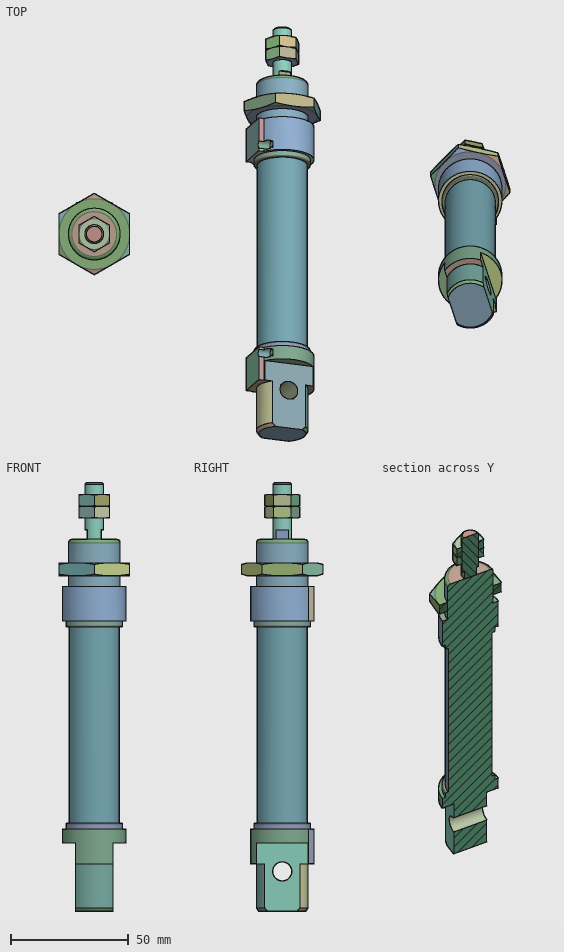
import cadquery as cq
import math

TOTAL_LENGTH = 182.0
ROD_LENGTH = 24.0
HOUSING_TOP = TOTAL_LENGTH - ROD_LENGTH
NECK_LENGTH = 20.0
BOSS_LENGTH = 14.75
COLLAR_LENGTH = 2.5
FRONT_BOSS_TOP = HOUSING_TOP - NECK_LENGTH
FRONT_BOSS_BOTTOM = FRONT_BOSS_TOP - BOSS_LENGTH
REAR_BOSS_BOTTOM = 20.25
REAR_BOSS_TOP = REAR_BOSS_BOTTOM + BOSS_LENGTH

TUBE_DIAMETER = 21.4
COLLAR_DIAMETER = 24.0
COLLAR_ROUNDING = 0.4
BOSS_DIAMETER = 27.0
NECK_DIAMETER = 22.0
NECK_ROUNDING = 1.5
CLEVIS_CHAMFER_HEIGHT = 1.5
CLEVIS_CHAMFER_WIDTH = 1.0
CLEVIS_THICKNESS = 16.0
CLEVIS_FLAT_TOP = 29.0
PIN_HOLE_DIAMETER = 8.0
PIN_HOLE_HEIGHT = 17.0

PAD_WIDTH = 15.2
SCREW_HOLE_DIAMETER = 4.0
SCREW_HOLE_X = -8.8
SCREW_HOLE_FLOOR = 8.2
SCREW_HOLE_INSET = 2.75

ROD_DIAMETER = 8.0
ROD_TIP_DIAMETER = 6.65
ROD_CHAMFER = (ROD_DIAMETER - ROD_TIP_DIAMETER) / 2
ROD_FLAT_WIDTH = 6.0
ROD_FLAT_HEIGHT = 4.0

ROD_NUT_WIDTH = 13.0
ROD_NUT_HEIGHT = 5.0
ROD_NUT_COUNT = 2
ROD_NUTS_BOTTOM = 167.0
NECK_NUT_WIDTH = 30.0
NECK_NUT_HEIGHT = 5.5
NECK_NUT_BOTTOM = 142.5
NUT_CHAMFER_ANGLE = 17.0


def cylinder(diameter, bottom, top):
    return cq.Workplane("XY").workplane(offset=bottom).circle(diameter / 2).extrude(top - bottom)


def cap_boss(bottom):
    """Round boss with a square-edged pad on its +Y side."""
    boss = cylinder(BOSS_DIAMETER, bottom, bottom + BOSS_LENGTH)
    pad = (
        cq.Workplane("XY")
        .workplane(offset=bottom)
        .rect(PAD_WIDTH, BOSS_DIAMETER / 2, centered=(True, False))
        .extrude(BOSS_LENGTH)
    )
    return boss.union(pad)


def screw_hole(height):
    """Blind hole running along Y from the pad face."""
    depth = BOSS_DIAMETER / 2 - SCREW_HOLE_FLOOR
    return (
        cq.Workplane("XZ", origin=(SCREW_HOLE_X, BOSS_DIAMETER / 2, height))
        .circle(SCREW_HOLE_DIAMETER / 2)
        .extrude(depth)
    )


def build_housing():
    tube = cylinder(TUBE_DIAMETER, REAR_BOSS_TOP, FRONT_BOSS_BOTTOM)
    front_collar = (
        cylinder(COLLAR_DIAMETER, FRONT_BOSS_BOTTOM - COLLAR_LENGTH, FRONT_BOSS_BOTTOM)
        .faces("<Z").edges().fillet(COLLAR_ROUNDING)
    )
    rear_collar = (
        cylinder(COLLAR_DIAMETER, REAR_BOSS_TOP, REAR_BOSS_TOP + COLLAR_LENGTH)
        .faces(">Z").edges().fillet(COLLAR_ROUNDING)
    )
    neck = (
        cylinder(NECK_DIAMETER, FRONT_BOSS_TOP, HOUSING_TOP)
        .faces(">Z").edges().fillet(NECK_ROUNDING)
    )
    clevis = (
        cylinder(NECK_DIAMETER, 0, REAR_BOSS_BOTTOM)
        .faces("<Z").edges().chamfer(CLEVIS_CHAMFER_HEIGHT, CLEVIS_CHAMFER_WIDTH)
    )
    housing = tube.union(front_collar).union(rear_collar).union(neck).union(clevis)
    housing = housing.union(cap_boss(FRONT_BOSS_BOTTOM)).union(cap_boss(REAR_BOSS_BOTTOM))
    housing = housing.cut(screw_hole(FRONT_BOSS_BOTTOM + SCREW_HOLE_INSET))
    housing = housing.cut(screw_hole(REAR_BOSS_TOP - SCREW_HOLE_INSET))

    for side in (-1, 1):
        flat_cut = (
            cq.Workplane("XY")
            .center(side * (CLEVIS_THICKNESS + BOSS_DIAMETER) / 2, 0)
            .rect(BOSS_DIAMETER, 2 * BOSS_DIAMETER)
            .extrude(CLEVIS_FLAT_TOP)
        )
        housing = housing.cut(flat_cut)
    pin_hole = (
        cq.Workplane("YZ")
        .center(0, PIN_HOLE_HEIGHT)
        .circle(PIN_HOLE_DIAMETER / 2)
        .extrude(CLEVIS_THICKNESS, both=True)
    )
    return housing.cut(pin_hole)


def build_rod():
    rod = cylinder(ROD_DIAMETER, HOUSING_TOP, TOTAL_LENGTH).faces(">Z").edges().chamfer(ROD_CHAMFER)
    for side in (-1, 1):
        flat_cut = (
            cq.Workplane("XY", origin=(0, 0, HOUSING_TOP))
            .center(side * (ROD_FLAT_WIDTH + ROD_DIAMETER) / 2, 0)
            .rect(ROD_DIAMETER, 2 * ROD_DIAMETER)
            .extrude(ROD_FLAT_HEIGHT)
        )
        rod = rod.cut(flat_cut)
    return rod


def build_nut(width, bore, height, bottom):
    """Hexagon nut with flats facing X and both rims turned down to a cone."""
    corner_radius = width / math.sqrt(3)
    chamfer_width = corner_radius - width / 2
    chamfer_height = chamfer_width * math.tan(math.radians(NUT_CHAMFER_ANGLE))
    hexagon = (
        cq.Workplane("XY")
        .polygon(6, 2 * corner_radius)
        .extrude(height)
        .rotate((0, 0, 0), (0, 0, 1), 30)
    )
    turned = (
        cq.Workplane("XY")
        .circle(corner_radius)
        .extrude(height)
        .faces("<Z or >Z").edges().chamfer(chamfer_height, chamfer_width)
    )
    nut = hexagon.intersect(turned).cut(cylinder(bore, 0, height))
    return nut.translate((0, 0, bottom))


housing = build_housing()
rod = build_rod()
neck_nut = build_nut(NECK_NUT_WIDTH, NECK_DIAMETER, NECK_NUT_HEIGHT, NECK_NUT_BOTTOM)
rod_nuts = [
    build_nut(ROD_NUT_WIDTH, ROD_DIAMETER, ROD_NUT_HEIGHT, ROD_NUTS_BOTTOM + i * ROD_NUT_HEIGHT)
    for i in range(ROD_NUT_COUNT)
]

result = cq.Compound.makeCompound(
    [housing.val(), rod.val(), neck_nut.val(), *[nut.val() for nut in rod_nuts]]
)